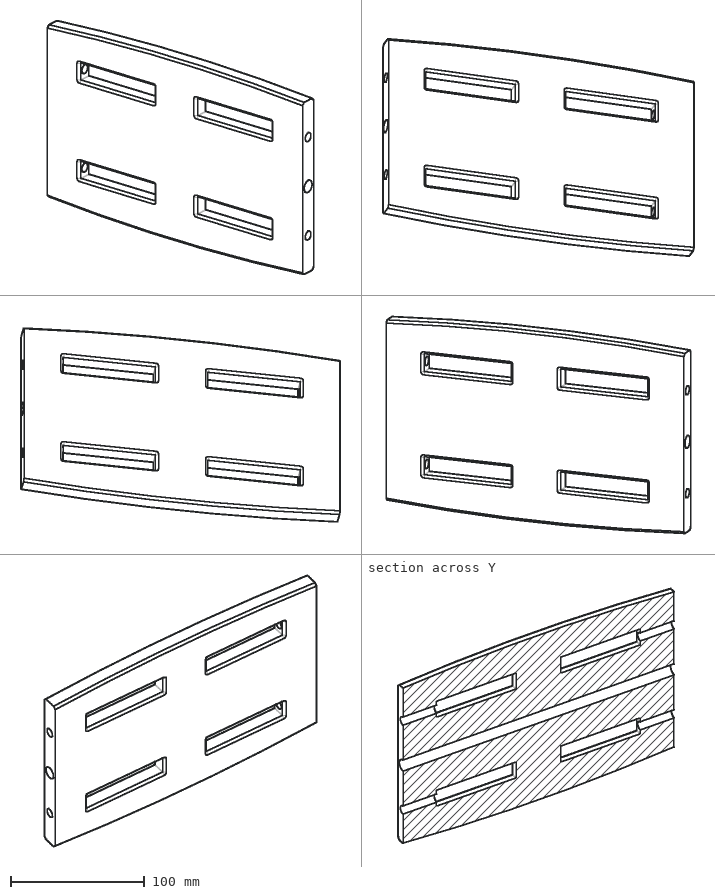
import cadquery as cq

LENGTH = 240.0
THICKNESS = 14.0
END_HEIGHT = 140.2
MID_HEIGHT = 149.0
EDGE_CHAMFER = 2.0

WINDOW_LENGTH = 70.0
WINDOW_HEIGHT = 14.0
WINDOW_CORNER_RADIUS = 0.2
WINDOW_CHAMFER = 2.0
WINDOW_X = 55.0
WINDOW_Z = 40.0

CENTRE_HOLE_DIAMETER = 9.5
SIDE_HOLE_DIAMETER = 7.0


def make_plate():
    """Bowed plate centred on the origin, chamfered along its curved edges."""
    half_length = LENGTH / 2
    half_end = END_HEIGHT / 2
    half_mid = MID_HEIGHT / 2
    plate = (
        cq.Workplane("XZ")
        .moveTo(-half_length, -half_end)
        .threePointArc((0, -half_mid), (half_length, -half_end))
        .lineTo(half_length, half_end)
        .threePointArc((0, half_mid), (-half_length, half_end))
        .close()
        .extrude(THICKNESS / 2, both=True)
    )
    return plate.edges("%CIRCLE").chamfer(EDGE_CHAMFER)


def cut_windows(plate):
    """Cut the four through windows and chamfer their rims on both faces."""
    cutters = (
        cq.Workplane("XZ")
        .rect(2 * WINDOW_X, 2 * WINDOW_Z, forConstruction=True)
        .vertices()
        .rect(WINDOW_LENGTH, WINDOW_HEIGHT)
        .extrude(THICKNESS / 2, both=True)
        .edges("|Y")
        .fillet(WINDOW_CORNER_RADIUS)
    )
    plate = plate.cut(cutters)
    for face in plate.faces("<Y or >Y").vals():
        rim_edges = [edge for wire in face.innerWires() for edge in wire.Edges()]
        plate = plate.newObject(rim_edges).chamfer(WINDOW_CHAMFER)
    return plate


def make_hole(diameter, z, start_x, end_x):
    """Cylinder along X between two positions, at mid-thickness."""
    return (
        cq.Workplane("YZ", origin=(start_x, 0, z))
        .circle(diameter / 2)
        .extrude(end_x - start_x)
    )


plate = cut_windows(make_plate())

result = plate.cut(make_hole(CENTRE_HOLE_DIAMETER, 0, -LENGTH / 2, LENGTH / 2))

for side in (-1, 1):
    for window_z in (-WINDOW_Z, WINDOW_Z):
        end_hole = make_hole(SIDE_HOLE_DIAMETER, window_z, side * WINDOW_X, side * LENGTH / 2)
        result = result.cut(end_hole)